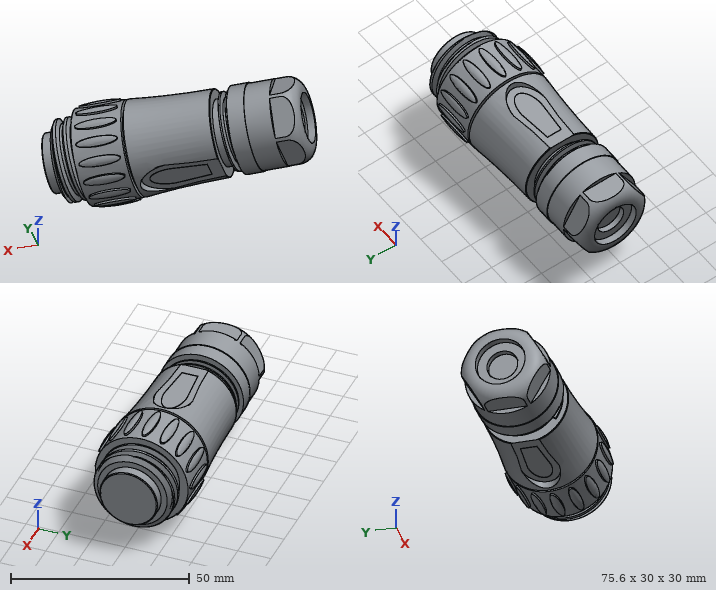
import cadquery as cq
import math


nut_end = 7.6
collar_step = 15.1
collar_end = 20.15
body_start = 25.1
body_end = 49.95
ring_start = 50.7
ring_end = 65.3
front_thread_end = 72.35
total_length = 75.6
locating_nib_height = 0.15
tip_end = total_length - locating_nib_height

nut_diameter = 25.0
nut_across_flats = 22.2
nut_rounding = 4.5
entry_diameter = 14.5
entry_depth = 2.2
cable_hole_diameter = 9.0
cable_hole_depth = 1.8

large_collar_diameter = 25.5

rear_core_diameter = 19.4
rear_major_diameter = 23.0
rear_pitch = 2.0
rear_thread_start = 18.2
rear_thread_turns = 2.85
rear_root_width = 1.3
rear_crest_width = 0.5

body_small_diameter = 25.4
body_large_diameter = 28.0
body_edge_chamfer = 0.2
body_land = 0.3
neck_diameter = 24.5
panel_height = 12.0
panel_half_width = 5.5
panel_round_start = 40.1
panel_end = 48.6
panel_wall_draft = 8
label_start = 28.8
label_start_half_width = 2.4
label_half_width = 3.4
label_round_start = 39.6
label_end = 46.2
label_depth = 0.1

ring_diameter = 28.0
grip_diameter = 30.0
pad_count = 16
pad_center = (ring_start + ring_end) / 2
pad_length = 12.1
pad_width = 2.85
pad_crown_radius = 2.5
pad_end_drop = 0.45
pad_root_radius = 13.0

front_core_diameter = 21.0
front_major_diameter = 24.0
front_pitch = 3.1
front_thread_start = 63.8
front_thread_turns = 3.2
front_root_width = 2.3
front_crest_width = 0.9
rim_length = 0.95

tip_diameter = 17.4
tip_chamfer = 0.25
nib_diameter = 0.29
nib_offset = 8.36

thread_embed = 0.3


def cylinder(start, end, diameter):
    """Solid cylinder on the X axis."""
    return cq.Workplane("YZ", origin=(start, 0, 0)).circle(diameter / 2).extrude(end - start)


def revolve_about_x(profile):
    """Revolve a closed XZ profile about the X axis."""
    return profile.close().revolve(360, (0, 0, 0), (1, 0, 0))


def thread_ridge(start, pitch, turns, core_diameter, major_diameter, root_width, crest_width):
    """Right-handed trapezoidal ridge whose centre starts at the bottom (-Z) of the part."""
    core_radius = core_diameter / 2
    crest_radius = major_diameter / 2
    flank_slope = (root_width - crest_width) / 2 / (crest_radius - core_radius)
    root_radius = core_radius - thread_embed
    half_root = root_width / 2 + thread_embed * flank_slope
    half_crest = crest_width / 2
    helix = cq.Wire.makeHelix(pitch, pitch * turns, root_radius)
    ridge = (
        cq.Workplane("XZ")
        .polyline([
            (root_radius, -half_root),
            (crest_radius, -half_crest),
            (crest_radius, half_crest),
            (root_radius, half_root),
        ])
        .close()
        .sweep(cq.Workplane(obj=helix), isFrenet=True)
    )
    return ridge.rotate((0, 0, 0), (0, 1, 0), 90).translate((start, 0, 0))


def make_nut_and_collars():
    """Rounded turning with two collars; everything outside the hexagon is removed up to nut_end."""
    nut_radius = nut_diameter / 2
    large_collar_radius = large_collar_diameter / 2
    turning = revolve_about_x(
        cq.Workplane("XZ")
        .lineTo(0, nut_radius - nut_rounding)
        .radiusArc((nut_rounding, nut_radius), nut_rounding)
        .lineTo(collar_step, nut_radius)
        .lineTo(collar_step, large_collar_radius)
        .lineTo(collar_end, large_collar_radius)
        .lineTo(collar_end, 0)
    )
    across_corners = nut_across_flats / math.cos(math.pi / 6)
    hexagon = cq.Workplane("YZ").polygon(6, across_corners).extrude(nut_end)
    flat_cutter = cylinder(0, nut_end, grip_diameter).cut(hexagon)
    return turning.cut(flat_cutter)


def make_rear_thread():
    core = cylinder(collar_step, body_start + thread_embed, rear_core_diameter)
    ridge = thread_ridge(
        rear_thread_start, rear_pitch, rear_thread_turns,
        rear_core_diameter, rear_major_diameter, rear_root_width, rear_crest_width,
    )
    return core.union(ridge)


def label_panel_cutter():
    """Round-ended panel above panel_height, with a shallower label recess in its floor."""
    panel_outline = (
        cq.Workplane("XY", origin=(0, 0, panel_height))
        .moveTo(body_start, -panel_half_width)
        .lineTo(panel_round_start, -panel_half_width)
        .ellipseArc(panel_end - panel_round_start, panel_half_width, -90, 90, startAtCurrent=True)
        .lineTo(body_start, panel_half_width)
        .close()
    )
    label_outline = (
        cq.Workplane("XY", origin=(0, 0, panel_height - label_depth))
        .moveTo(label_start, -label_start_half_width)
        .lineTo(label_round_start, -label_half_width)
        .ellipseArc(label_end - label_round_start, label_half_width, -90, 90, startAtCurrent=True)
        .lineTo(label_start, label_start_half_width)
        .close()
    )
    cut_height = grip_diameter / 2 - panel_height
    panel = panel_outline.extrude(cut_height, taper=-panel_wall_draft)
    return panel.union(label_outline.extrude(cut_height))


def make_body():
    small_radius = body_small_diameter / 2
    large_radius = body_large_diameter / 2
    flare_start = body_start + body_edge_chamfer
    land_start = body_end - body_land
    flare_length = land_start - flare_start
    flare_rise = large_radius - small_radius
    flare_radius = (flare_length**2 + flare_rise**2) / (2 * flare_rise)
    body = revolve_about_x(
        cq.Workplane("XZ")
        .moveTo(body_start, 0)
        .lineTo(body_start, small_radius - body_edge_chamfer)
        .lineTo(flare_start, small_radius)
        .radiusArc((land_start, large_radius), -flare_radius)
        .lineTo(body_end, large_radius)
        .lineTo(body_end, 0)
    )
    upper_cutter = label_panel_cutter()
    lower_cutter = upper_cutter.rotate((0, 0, 0), (1, 0, 0), 180)
    return body.cut(upper_cutter).cut(lower_cutter)


def make_grip_pad():
    """Elliptical pad on top of the ring, crowned along and across."""
    half_length = pad_length / 2
    footprint = (
        cq.Workplane("XY", origin=(pad_center, 0, pad_root_radius))
        .ellipse(half_length, pad_width / 2)
        .extrude(grip_diameter / 2 - pad_root_radius)
    )
    end_radius = pad_crown_radius - pad_end_drop
    crown_axis_height = grip_diameter / 2 - pad_crown_radius
    crown = (
        cq.Workplane("XZ", origin=(pad_center, 0, crown_axis_height))
        .moveTo(-half_length, 0)
        .lineTo(-half_length, end_radius)
        .threePointArc((0, pad_crown_radius), (half_length, end_radius))
        .lineTo(half_length, 0)
        .close()
        .revolve(360, (0, 0, 0), (1, 0, 0))
    )
    return footprint.intersect(crown)


def make_coupling_ring():
    ring = cylinder(ring_start, ring_end, ring_diameter)
    pad = make_grip_pad()
    for index in range(pad_count):
        ring = ring.union(pad.rotate((0, 0, 0), (1, 0, 0), index * 360 / pad_count))
    return ring


def make_front_thread():
    core_radius = front_core_diameter / 2
    major_radius = front_major_diameter / 2
    rim_start = front_thread_end - rim_length
    core = cylinder(pad_center, front_thread_end, front_core_diameter)
    rim = revolve_about_x(
        cq.Workplane("XZ")
        .moveTo(rim_start, 0)
        .lineTo(rim_start, major_radius)
        .lineTo(front_thread_end, core_radius)
        .lineTo(front_thread_end, 0)
    )
    ridge = thread_ridge(
        front_thread_start, front_pitch, front_thread_turns,
        front_core_diameter, front_major_diameter, front_root_width, front_crest_width,
    )
    ridge_within_length = ridge.intersect(cylinder(pad_center, rim_start, grip_diameter))
    return core.union(ridge_within_length).union(rim)


def make_tip():
    tip = cylinder(ring_end, tip_end, tip_diameter).faces(">X").chamfer(tip_chamfer)
    nib = cylinder(tip_end - locating_nib_height, total_length, nib_diameter)
    return tip.union(nib.translate((0, -nib_offset, 0)))


def make_cable_entry():
    entry = cylinder(0, entry_depth, entry_diameter)
    return entry.union(cylinder(0, entry_depth + cable_hole_depth, cable_hole_diameter))


result = (
    make_nut_and_collars()
    .union(make_rear_thread())
    .union(make_body())
    .union(cylinder(body_end, ring_start, neck_diameter))
    .union(make_coupling_ring())
    .union(make_front_thread())
    .union(make_tip())
    .cut(make_cable_entry())
)